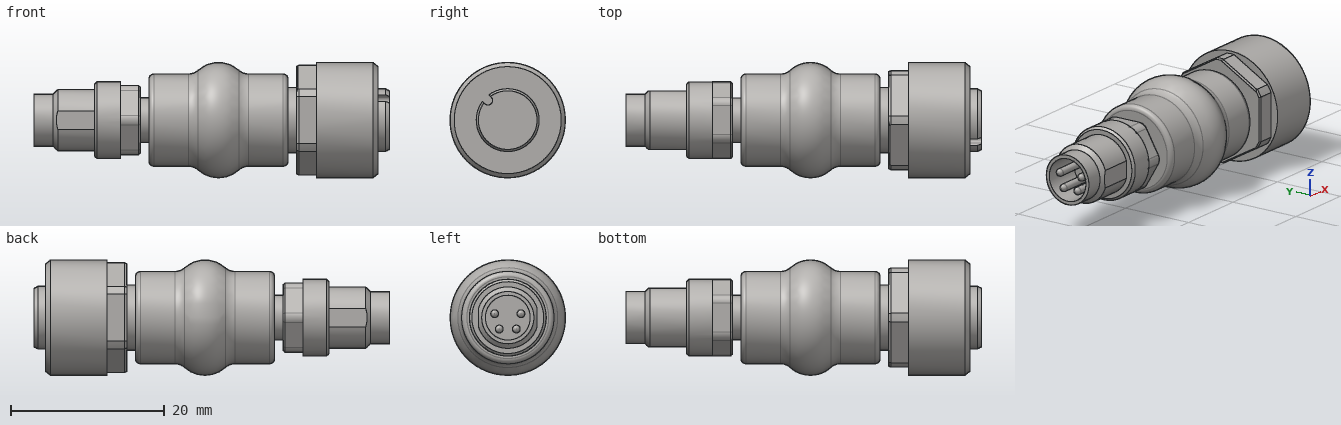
import cadquery as cq
import math


nose_diameter = 6.8
barrel_diameter = 8.0
barrel_flat_width = 7.6
collar_diameter = 10.0
barrel_cone_start = 2.5
barrel_start = 3.1
collar_start = 7.85
collar_edge = 0.32
collar_end = 11.25

socket_diameter = 5.8
socket_depth = 5.55
pin_diameter = 1.0
pin_tip_setback = 0.25
upper_pin_offset = 1.7
upper_pin_height = 0.5
lower_pin_offset = 1.1
lower_pin_height = -1.5
pin_embedment = 0.45
tip_roundness = 0.98

plug_hex_end = 13.8
plug_hex_flats = 9.0
plug_hex_corner_radius = 1.25
plug_hex_edge = 0.25
plug_neck_diameter = 5.8

grip_start = 14.9
grip_length = 18.1
grip_diameter = 12.0
grip_end_fillet = 0.7
bulge_diameter = 15.0
bulge_radius = 3.95
bulge_blend_radius = 1.85

coupling_neck_diameter = 8.5
coupling_hex_start = 34.15
coupling_hex_flats = 12.9
coupling_hex_corners = 14.28
coupling_hex_edge_length = 0.3
coupling_hex_edge_depth = 0.15
ring_start = 36.7
ring_end = 44.7
ring_diameter = 15.0
ring_edge_length = 0.7
ring_edge_depth = 0.55
insert_diameter = 8.2
insert_edge_length = 0.55
insert_edge_depth = 0.3
total_length = 46.2

keyway_width = 1.2
keyway_wall_depth = 0.4
keyway_angle = 45.0

grip_end = grip_start + grip_length


def revolve_about_x(profile):
    return profile.close().revolve(360, (0, 0, 0), (1, 0, 0))


def cylinder(start, end, diameter):
    return cq.Workplane("YZ", origin=(start, 0, 0)).circle(diameter / 2).extrude(end - start)


def hexagon_prism(start, end, flats):
    """Sharp hexagonal prism with flats facing +Z and -Z."""
    sharp_corners = flats / math.cos(math.pi / 6)
    return cq.Workplane("YZ", origin=(start, 0, 0)).polygon(6, sharp_corners).extrude(end - start)


def make_plug():
    nose_radius = nose_diameter / 2
    barrel_radius = barrel_diameter / 2
    nose_and_barrel = revolve_about_x(
        cq.Workplane("XY")
        .moveTo(0, 0)
        .lineTo(0, nose_radius)
        .lineTo(barrel_cone_start, nose_radius)
        .lineTo(barrel_start, barrel_radius)
        .lineTo(collar_start, barrel_radius)
        .lineTo(collar_start, 0)
    )
    between_flats = cq.Workplane("XY").box(
        collar_start, barrel_flat_width, barrel_diameter, centered=(False, True, True)
    )
    collar = cylinder(collar_start, collar_end, collar_diameter).faces("<X").chamfer(collar_edge)
    hexagon = hexagon_prism(collar_end, plug_hex_end, plug_hex_flats)
    hexagon = hexagon.edges("|X").fillet(plug_hex_corner_radius)
    hexagon = hexagon.faces(">X").edges().chamfer(plug_hex_edge)
    neck = cylinder(plug_hex_end, grip_start, plug_neck_diameter)
    body = nose_and_barrel.intersect(between_flats).union(collar).union(hexagon).union(neck)
    return body.cut(cylinder(0, socket_depth, socket_diameter))


def make_pins():
    pin_end = socket_depth + pin_embedment
    pins = cq.Workplane("YZ", origin=(pin_tip_setback, 0, 0)).pushPoints(
        [
            (side * offset, height)
            for side in (-1, 1)
            for offset, height in (
                (upper_pin_offset, upper_pin_height),
                (lower_pin_offset, lower_pin_height),
            )
        ]
    ).circle(pin_diameter / 2).extrude(pin_end - pin_tip_setback)
    tip_rounding = tip_roundness * pin_diameter / 2
    return pins.faces("<X").edges().fillet(tip_rounding)


def make_grip():
    grip_radius = grip_diameter / 2
    middle = grip_start + grip_length / 2
    crest = bulge_diameter / 2

    bulge_centre = crest - bulge_radius
    blend_centre = grip_radius + bulge_blend_radius
    rise = blend_centre - bulge_centre
    centre_distance = bulge_radius + bulge_blend_radius
    blend_reach = math.sqrt(centre_distance**2 - rise**2)
    touch_reach = blend_reach * bulge_radius / centre_distance
    touch_height = bulge_centre + rise * bulge_radius / centre_distance

    half_turn = math.atan2(blend_reach, rise) / 2
    blend_mid_reach = blend_reach - bulge_blend_radius * math.sin(half_turn)
    blend_mid_height = blend_centre - bulge_blend_radius * math.cos(half_turn)

    grip = revolve_about_x(
        cq.Workplane("XY")
        .moveTo(grip_start, 0)
        .lineTo(grip_start, grip_radius)
        .lineTo(middle - blend_reach, grip_radius)
        .threePointArc((middle - blend_mid_reach, blend_mid_height), (middle - touch_reach, touch_height))
        .threePointArc((middle, crest), (middle + touch_reach, touch_height))
        .threePointArc((middle + blend_mid_reach, blend_mid_height), (middle + blend_reach, grip_radius))
        .lineTo(grip_end, grip_radius)
        .lineTo(grip_end, 0)
    )
    return grip.faces("<X or >X").edges().fillet(grip_end_fillet)


def make_coupling():
    neck = cylinder(grip_end, coupling_hex_start, coupling_neck_diameter)
    hexagon = hexagon_prism(coupling_hex_start, ring_start, coupling_hex_flats)
    hexagon = hexagon.intersect(cylinder(coupling_hex_start, ring_start, coupling_hex_corners))
    hexagon = hexagon.faces("<X").edges().chamfer(coupling_hex_edge_depth, coupling_hex_edge_length)
    hexagon = hexagon.rotate((0, 0, 0), (1, 0, 0), 90)
    ring_radius = ring_diameter / 2
    insert_radius = insert_diameter / 2
    ring_and_insert = revolve_about_x(
        cq.Workplane("XY")
        .moveTo(ring_start, 0)
        .lineTo(ring_start, ring_radius)
        .lineTo(ring_end - ring_edge_length, ring_radius)
        .lineTo(ring_end, ring_radius - ring_edge_depth)
        .lineTo(ring_end, insert_radius)
        .lineTo(total_length - insert_edge_length, insert_radius)
        .lineTo(total_length, insert_radius - insert_edge_depth)
        .lineTo(total_length, 0)
    )
    return neck.union(hexagon).union(ring_and_insert).cut(make_keyway())


def make_keyway():
    """Round-bottomed groove, modelled on the +Z side and turned towards -Y."""
    half_width = keyway_width / 2
    rim_height = math.sqrt((insert_diameter / 2) ** 2 - half_width**2)
    wall_bottom = rim_height - keyway_wall_depth
    groove_top = insert_diameter / 2 + half_width
    groove = (
        cq.Workplane("YZ", origin=(ring_end, 0, 0))
        .moveTo(-half_width, groove_top)
        .lineTo(-half_width, wall_bottom)
        .threePointArc((0, wall_bottom - half_width), (half_width, wall_bottom))
        .lineTo(half_width, groove_top)
        .close()
        .extrude(total_length - ring_end)
    )
    return groove.rotate((0, 0, 0), (1, 0, 0), keyway_angle)


result = make_plug().union(make_pins()).union(make_grip()).union(make_coupling())